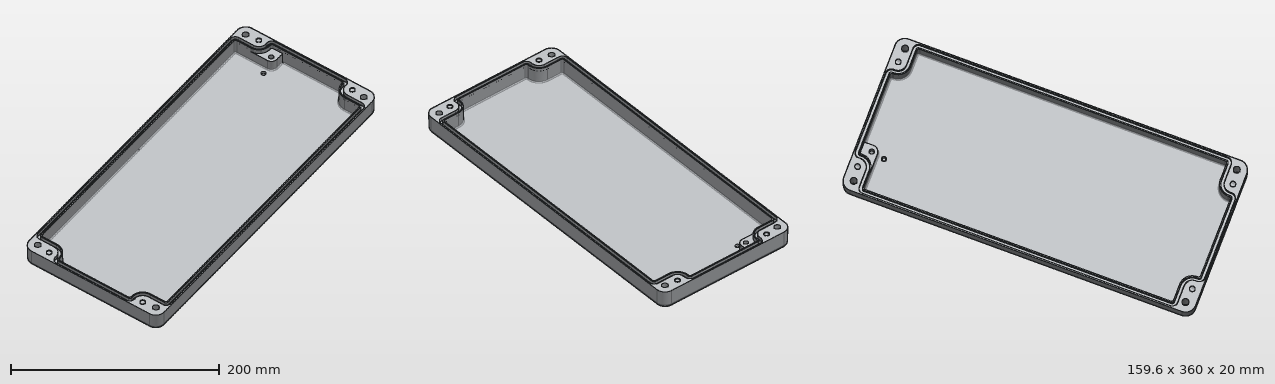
import cadquery as cq
import math

LENGTH_X = 159.6
LENGTH_Y = 360.0
HEIGHT = 20.0
CORNER_RADIUS = 10.0
BOTTOM_RADIUS = 3.5
OUTER_DRAFT = 0.5

RIM_THICKNESS = 1.4
GROOVE_WIDTH = 3.2
GROOVE_DEPTH = 4.0
RIM_FILLET = 5.5
RIB_THICKNESS = 1.2
SMALLEST_FILLET = 2.0
FLOOR_THICKNESS = 3.0
CAVITY_DRAFT = 1.0
FLOOR_FILLET = 1.0

BOSS_X = 55.3
BOSS_Y = 171.3
BOSS_RADIUS = 8.5
SCREW_HOLE_DIAMETER = 5.5
SCREW_HOLE_DEPTH = 1.0
DRILL_POINT_ANGLE = 118.0
MOUNT_X = 69.8
MOUNT_Y = 169.8
MOUNT_TOP_DIAMETER = 6.6
MOUNT_BOTTOM_DIAMETER = 4.7

PEDESTAL_X = -35.5
PEDESTAL_Y = 164.2
PEDESTAL_RADIUS = 6.5
PEDESTAL_TOP = 15.0
PEDESTAL_HOLE_DIAMETER = 5.0
PEDESTAL_HOLE_DEPTH = 8.0
FLOOR_HOLE_Y = 151.7
FLOOR_HOLE_TOP_DIAMETER = 5.0
FLOOR_HOLE_BOTTOM_DIAMETER = 3.0
FLOOR_HOLE_DEPTH = 1.5

CAVITY_DEPTH = HEIGHT - FLOOR_THICKNESS
CAVITY_INSET = GROOVE_WIDTH + RIB_THICKNESS
CAVITY_NARROWING = CAVITY_DEPTH * math.tan(math.radians(CAVITY_DRAFT))
ARC_45 = math.sqrt(0.5)
QUADRANTS = [(1, 1), (-1, 1), (-1, -1), (1, -1)]


def quadrant_segments(inset):
    """Outline in the +X, +Y quadrant as (mid, end) pairs after its start; mid is None for a line."""
    half_x = LENGTH_X / 2 - RIM_THICKNESS - inset
    half_y = LENGTH_Y / 2 - RIM_THICKNESS - inset
    boss_radius = BOSS_RADIUS + inset
    fillet = max(RIM_FILLET - inset, SMALLEST_FILLET)
    side_y = BOSS_Y - boss_radius
    end_x = BOSS_X - boss_radius
    fillet_mid = fillet * (1 - ARC_45)
    start = (half_x, side_y - fillet)
    segments = [
        ((half_x - fillet_mid, side_y - fillet_mid), (half_x - fillet, side_y)),
        (None, (BOSS_X, side_y)),
        ((BOSS_X - boss_radius * ARC_45, BOSS_Y - boss_radius * ARC_45), (end_x, BOSS_Y)),
        (None, (end_x, half_y - fillet)),
        ((end_x - fillet_mid, half_y - fillet_mid), (end_x - fillet, half_y)),
    ]
    return start, segments


def reversed_path(start, segments):
    """The same path walked from its far end back to its start."""
    ends = [start] + [end for _, end in segments]
    mids = [mid for mid, _ in segments]
    return ends[-1], list(zip(reversed(mids), reversed(ends[:-1])))


def cavity_outline(plane, inset):
    """Closed outline around the four bosses, moved inwards from the rim by inset."""
    path = quadrant_segments(inset)
    outline = None
    for sign_x, sign_y in QUADRANTS:
        start, segments = path if sign_x == sign_y else reversed_path(*path)
        start_point = (sign_x * start[0], sign_y * start[1])
        outline = plane.moveTo(*start_point) if outline is None else outline.lineTo(*start_point)
        for mid, end in segments:
            end_point = (sign_x * end[0], sign_y * end[1])
            if mid is None:
                outline = outline.lineTo(*end_point)
            else:
                outline = outline.threePointArc((sign_x * mid[0], sign_y * mid[1]), end_point)
    return outline.close()


def outer_body():
    body = (
        cq.Workplane("XY", origin=(0, 0, HEIGHT))
        .rect(LENGTH_X, LENGTH_Y)
        .extrude(-HEIGHT, taper=OUTER_DRAFT)
        .edges("not(#Z or |X or |Y)")
        .fillet(CORNER_RADIUS)
    )
    return body.faces("<Z").edges().fillet(BOTTOM_RADIUS)


def seal_groove():
    floor_plane = cq.Workplane("XY", origin=(0, 0, HEIGHT - GROOVE_DEPTH))
    outside = cavity_outline(floor_plane, 0).extrude(GROOVE_DEPTH)
    return outside.cut(cavity_outline(floor_plane, GROOVE_WIDTH).extrude(GROOVE_DEPTH))


def pedestal():
    """Drafted block in line with the boss wall, rounded at its free corner."""
    right = PEDESTAL_X + PEDESTAL_RADIUS
    front = BOSS_Y - BOSS_RADIUS - CAVITY_INSET - CAVITY_NARROWING
    left = -BOSS_X - BOSS_RADIUS
    back = LENGTH_Y / 2
    return (
        cq.Workplane("XY", origin=(0, 0, FLOOR_THICKNESS))
        .center((left + right) / 2, (front + back) / 2)
        .rect(right - left, back - front)
        .extrude(PEDESTAL_TOP - FLOOR_THICKNESS, taper=CAVITY_DRAFT)
        .edges("not(#Z or |X or |Y)")
        .edges(">X and <Y")
        .fillet(PEDESTAL_RADIUS)
    )


def cavity():
    """Drafted cavity around the pedestal, with its foot rounded."""
    outlines = cavity_outline(cq.Workplane("XY", origin=(0, 0, HEIGHT)), CAVITY_INSET)
    floor_plane = outlines.workplane(offset=-CAVITY_DEPTH, origin=(0, 0, HEIGHT))
    outlines = cavity_outline(floor_plane, CAVITY_INSET + CAVITY_NARROWING)
    hollow = outlines.loft(ruled=True).cut(pedestal())
    return hollow.faces("<Z").edges().fillet(FLOOR_FILLET)


def drilled_hole(x, y, top_z, diameter, depth):
    """Blind hole with a conical bottom; depth is that of its straight part."""
    radius = diameter / 2
    point = radius / math.tan(math.radians(DRILL_POINT_ANGLE / 2))
    profile = cq.Workplane("XZ").polyline(
        [(0, top_z), (radius, top_z), (radius, top_z - depth), (0, top_z - depth - point)]
    )
    return profile.close().revolve(360, (0, 0), (0, 1)).translate((x, y, 0))


def tapered_hole(x, y, top_z, depth, top_diameter, bottom_diameter):
    """Round hole narrowing evenly downwards."""
    return (
        cq.Workplane("XY", origin=(x, y, top_z - depth))
        .circle(bottom_diameter / 2)
        .workplane(offset=depth)
        .circle(top_diameter / 2)
        .loft()
    )


def screw_hole(x, y):
    return drilled_hole(x, y, HEIGHT, SCREW_HOLE_DIAMETER, SCREW_HOLE_DEPTH)


def mount_hole(x, y):
    return tapered_hole(x, y, HEIGHT, HEIGHT, MOUNT_TOP_DIAMETER, MOUNT_BOTTOM_DIAMETER)


def pedestal_hole():
    return drilled_hole(
        PEDESTAL_X, PEDESTAL_Y, PEDESTAL_TOP, PEDESTAL_HOLE_DIAMETER, PEDESTAL_HOLE_DEPTH
    )


def floor_hole():
    return tapered_hole(
        PEDESTAL_X,
        FLOOR_HOLE_Y,
        FLOOR_THICKNESS,
        FLOOR_HOLE_DEPTH,
        FLOOR_HOLE_TOP_DIAMETER,
        FLOOR_HOLE_BOTTOM_DIAMETER,
    )


result = outer_body().cut(seal_groove()).cut(cavity())
for side_x, side_y in QUADRANTS:
    result = result.cut(screw_hole(side_x * BOSS_X, side_y * BOSS_Y))
    result = result.cut(mount_hole(side_x * MOUNT_X, side_y * MOUNT_Y))
result = result.cut(pedestal_hole())
result = result.cut(floor_hole())